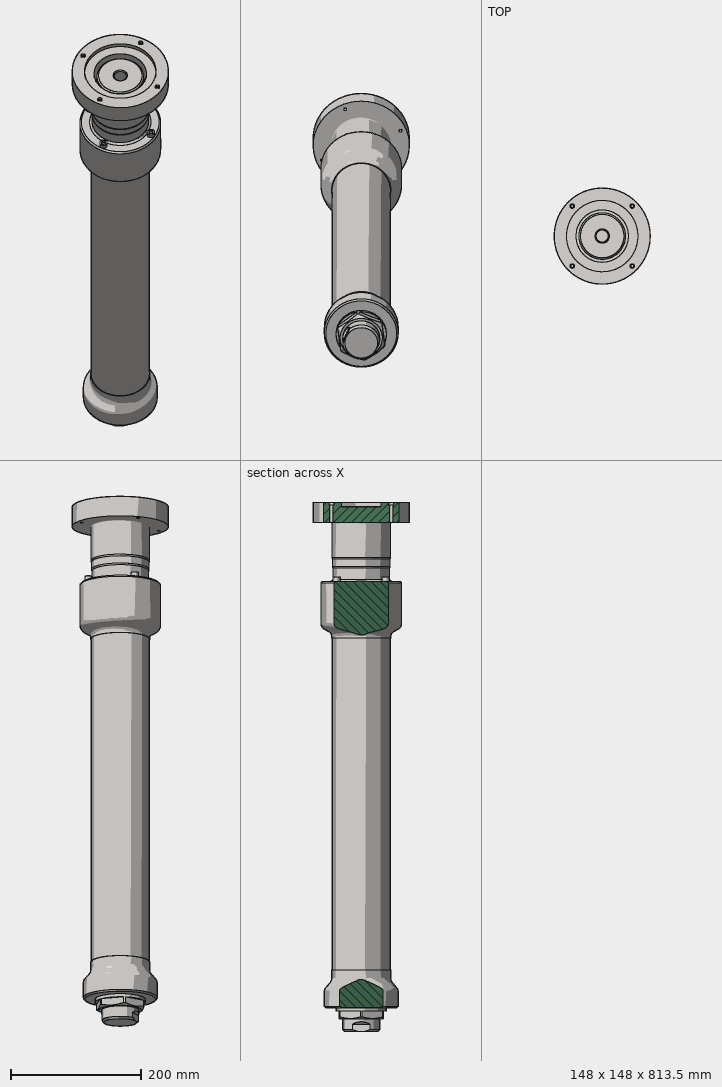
import cadquery as cq
import math

TOTAL_HEIGHT = 813.5
FLANGE_BOTTOM = 783.0
NECK_UPPER_STEP = 729.0
NECK_LOWER_STEP = 715.0
COLLAR_TOP = 692.0
COLLAR_CORNER = 621.5
COLLAR_CONE_END = 613.0
COLLAR_CUFF_END = 605.0
HEAD_CUFF_TOP = 95.0
HEAD_CONE_TOP = 78.0
HEAD_CORNER = 65.0
HEAD_BOTTOM = 37.0
WASHER_BOTTOM = 32.0
NUT_BOTTOM = 19.5

FLANGE_DIAMETER = 148.0
NECK_DIAMETER = 90.0
NECK_MIDDLE_DIAMETER = 89.0
NECK_LOWER_DIAMETER = 87.0
NECK_STEP_BEVEL = 2.5
NECK_FILLET = 2.0
RECESS_DIAMETER = 110.0
RECESS_DEPTH = 6.5
BORE_DIAMETER = 80.5
BORE_DEPTH = 32.5
FLANGE_HOLE_DIAMETER = 4.2
FLANGE_COUNTERBORE_DIAMETER = 6.8
FLANGE_COUNTERBORE_DEPTH = 4.0
FLANGE_HOLE_CIRCLE = 130.0

TUBE_DIAMETER = 89.5
CUFF_DIAMETER = 91.0
COLLAR_DIAMETER = 124.5
COLLAR_CHAMFER = 2.5
COLLAR_CORNER_FILLET = 10.5
COLLAR_CUFF_FILLET = 8.0
LIP_OUTER_DIAMETER = 94.0
LIP_HEIGHT = 2.5
SCREW_HEAD_DIAMETER = 11.0
SCREW_HEAD_HEIGHT = 6.5
SCREW_SOCKET_DIAMETER = 6.5
SCREW_SOCKET_DEPTH = 3.0
SCREW_CIRCLE = 107.0
HEAD_DIAMETER = 114.0
HEAD_CORNER_FILLET = 6.5
HEAD_CUFF_FILLET = 11.0
HEAD_CHAMFER = 2.5

WASHER_DIAMETER = 77.0
NUT_ACROSS_FLATS = 68.0
NUT_FACE_DIAMETER = 65.0
NUT_CHAMFER_HEIGHT = 3.0

ROD_DIAMETER = 72.0
ROD_TOP_DROP = 10.5
ROD_TOP_CHAMFER = 2.5
CENTRE_HOLE_DIAMETER = 19.0
CENTRE_HOLE_DEPTH = 32.5
CENTRE_HOLE_CHAMFER = 2.0
STUB_DIAMETER = 57.0
STUB_CHAMFER = 3.0
STUB_FLAT_DISTANCE = 25.0
STUB_FLAT_TOP = 11.0
STUB_FLAT_RUNOUT = 15.5

CORNER_ANGLES = [45, 135, 225, 315]


def revolved(points):
    """Solid of revolution about Z of a closed outline of (radius, height) points."""
    return cq.Workplane("XZ").polyline(points).close().revolve(360, (0, 0, 0), (0, 1, 0))


def corner_cylinders(diameter, circle_diameter, bottom, height):
    """Four upright cylinders on a circle, one on each diagonal."""
    points = [
        (
            circle_diameter / 2 * math.cos(math.radians(angle)),
            circle_diameter / 2 * math.sin(math.radians(angle)),
        )
        for angle in CORNER_ANGLES
    ]
    return cq.Workplane("XY").workplane(offset=bottom).pushPoints(points).circle(diameter / 2).extrude(height)


def fillet_ring(body, radius, height, fillet):
    """Round the circular edge of the given radius and height."""
    tolerance = 0.1
    box = cq.selectors.BoxSelector(
        (-radius - tolerance, -radius - tolerance, height - tolerance),
        (radius + tolerance, radius + tolerance, height + tolerance),
        boundingbox=True,
    )
    return body.edges(box).fillet(fillet)


def make_sleeve():
    """Flange and stepped neck, with a recess and a bore that leaves a ring gap around the rod."""
    neck = NECK_DIAMETER / 2
    middle = NECK_MIDDLE_DIAMETER / 2
    lower = NECK_LOWER_DIAMETER / 2
    flange = FLANGE_DIAMETER / 2
    bore_rim = TOTAL_HEIGHT - RECESS_DEPTH
    bore = BORE_DIAMETER / 2
    bore_floor = bore_rim - BORE_DEPTH
    rod = ROD_DIAMETER / 2
    sleeve = revolved([
        (rod, COLLAR_TOP),
        (lower, COLLAR_TOP),
        (lower, NECK_LOWER_STEP - NECK_STEP_BEVEL),
        (middle, NECK_LOWER_STEP),
        (middle, NECK_UPPER_STEP - NECK_STEP_BEVEL),
        (neck, NECK_UPPER_STEP),
        (neck, FLANGE_BOTTOM),
        (flange, FLANGE_BOTTOM),
        (flange, TOTAL_HEIGHT),
        (RECESS_DIAMETER / 2, TOTAL_HEIGHT),
        (RECESS_DIAMETER / 2, bore_rim),
        (bore, bore_rim),
        (bore, bore_floor),
        (rod, bore_floor),
    ])
    sleeve = fillet_ring(sleeve, neck, FLANGE_BOTTOM, NECK_FILLET)
    counterbore_floor = TOTAL_HEIGHT - FLANGE_COUNTERBORE_DEPTH
    counterbores = corner_cylinders(
        FLANGE_COUNTERBORE_DIAMETER, FLANGE_HOLE_CIRCLE, counterbore_floor, FLANGE_COUNTERBORE_DEPTH
    )
    holes = corner_cylinders(
        FLANGE_HOLE_DIAMETER, FLANGE_HOLE_CIRCLE, FLANGE_BOTTOM, TOTAL_HEIGHT - FLANGE_BOTTOM
    )
    return sleeve.cut(counterbores).cut(holes)


def make_housing():
    """Long tube with the collar at its top, the head at its bottom and four screw heads."""
    tube = TUBE_DIAMETER / 2
    cuff = CUFF_DIAMETER / 2
    collar = COLLAR_DIAMETER / 2
    head = HEAD_DIAMETER / 2
    seat = NECK_LOWER_DIAMETER / 2
    rod = ROD_DIAMETER / 2
    housing = revolved([
        (rod, HEAD_BOTTOM),
        (head - HEAD_CHAMFER, HEAD_BOTTOM),
        (head, HEAD_BOTTOM + HEAD_CHAMFER),
        (head, HEAD_CORNER),
        (cuff, HEAD_CONE_TOP),
        (cuff, HEAD_CUFF_TOP),
        (tube, HEAD_CUFF_TOP),
        (tube, COLLAR_CUFF_END),
        (cuff, COLLAR_CUFF_END),
        (cuff, COLLAR_CONE_END),
        (collar, COLLAR_CORNER),
        (collar, COLLAR_TOP - COLLAR_CHAMFER),
        (collar - COLLAR_CHAMFER, COLLAR_TOP),
        (LIP_OUTER_DIAMETER / 2, COLLAR_TOP),
        (seat, COLLAR_TOP + LIP_HEIGHT),
        (seat, COLLAR_TOP),
        (rod, COLLAR_TOP),
    ])
    housing = fillet_ring(housing, head, HEAD_CORNER, HEAD_CORNER_FILLET)
    housing = fillet_ring(housing, cuff, HEAD_CONE_TOP, HEAD_CUFF_FILLET)
    housing = fillet_ring(housing, collar, COLLAR_CORNER, COLLAR_CORNER_FILLET)
    housing = fillet_ring(housing, cuff, COLLAR_CONE_END, COLLAR_CUFF_FILLET)
    screw_heads = corner_cylinders(SCREW_HEAD_DIAMETER, SCREW_CIRCLE, COLLAR_TOP, SCREW_HEAD_HEIGHT)
    socket_bottom = COLLAR_TOP + SCREW_HEAD_HEIGHT - SCREW_SOCKET_DEPTH
    sockets = corner_cylinders(SCREW_SOCKET_DIAMETER, SCREW_CIRCLE, socket_bottom, SCREW_SOCKET_DEPTH)
    return housing.union(screw_heads).cut(sockets)


def make_nut():
    """Hexagon nut with corners along X, chamfered at its lower face, under a round washer face."""
    hexagon_corners = NUT_ACROSS_FLATS / math.cos(math.pi / 6)
    washer = WASHER_DIAMETER / 2
    hexagon = (
        cq.Workplane("XY").workplane(offset=NUT_BOTTOM)
        .polygon(6, hexagon_corners).extrude(WASHER_BOTTOM - NUT_BOTTOM)
    )
    turned = revolved([
        (0, NUT_BOTTOM),
        (NUT_FACE_DIAMETER / 2, NUT_BOTTOM),
        (washer, NUT_BOTTOM + NUT_CHAMFER_HEIGHT),
        (washer, WASHER_BOTTOM),
        (0, WASHER_BOTTOM),
    ])
    washer_face = (
        cq.Workplane("XY").workplane(offset=WASHER_BOTTOM)
        .circle(washer).extrude(HEAD_BOTTOM - WASHER_BOTTOM)
    )
    bore = cq.Workplane("XY").circle(STUB_DIAMETER / 2).extrude(HEAD_BOTTOM)
    return hexagon.intersect(turned).union(washer_face).cut(bore)


def make_rod():
    """Rod with a drilled, chamfered top and a narrower stub, which has two flats that run out upward."""
    rod = ROD_DIAMETER / 2
    stub = STUB_DIAMETER / 2
    hole = CENTRE_HOLE_DIAMETER / 2
    rod_top = TOTAL_HEIGHT - ROD_TOP_DROP
    hole_bottom = rod_top - CENTRE_HOLE_DEPTH
    body = revolved([
        (0, 0),
        (stub - STUB_CHAMFER, 0),
        (stub, STUB_CHAMFER),
        (stub, HEAD_BOTTOM),
        (rod, HEAD_BOTTOM),
        (rod, rod_top - ROD_TOP_CHAMFER),
        (rod - ROD_TOP_CHAMFER, rod_top),
        (hole + CENTRE_HOLE_CHAMFER, rod_top),
        (hole, rod_top - CENTRE_HOLE_CHAMFER),
        (hole, hole_bottom),
        (0, hole_bottom),
    ])
    flat_cutter = (
        cq.Workplane("XZ")
        .polyline([
            (STUB_FLAT_DISTANCE, 0),
            (STUB_FLAT_DISTANCE, STUB_FLAT_TOP),
            (stub, STUB_FLAT_RUNOUT),
            (stub, 0),
        ])
        .close().extrude(stub, both=True)
    )
    return body.cut(flat_cutter).cut(flat_cutter.mirror("YZ"))


sleeve = make_sleeve()
housing = make_housing()
nut = make_nut()
rod = make_rod()

result = cq.Compound.makeCompound([sleeve.val(), housing.val(), nut.val(), rod.val()])